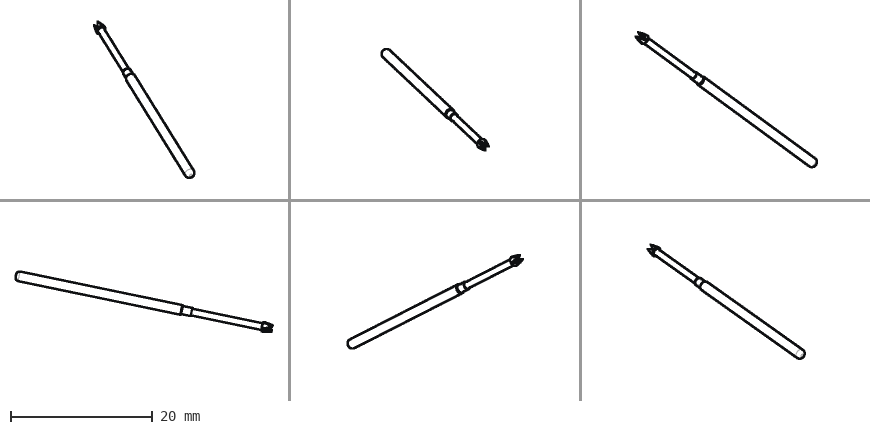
import cadquery as cq
import math

overall_length = 37.08
crown_rim = 1.37
plunger_start = 1.47
sleeve_start = 11.62
lead_in_start = 12.99

barrel_diameter = 1.42
crown_rim_diameter = 1.42
sleeve_diameter = 1.2
plunger_diameter = 1.0
crown_tip_diameter = 1.04

end_round_radius = 0.52

point_count = 4
center_depth = 0.6
groove_slope = 48.0
groove_angles = [(index + 0.5) * 360 / point_count for index in range(point_count)]


def turned_body():
    """Revolve the stepped profile of crown, plunger, sleeve and barrel about X."""
    barrel_radius = barrel_diameter / 2
    sleeve_radius = sleeve_diameter / 2
    lead_in_end = lead_in_start + barrel_radius - sleeve_radius
    round_start = overall_length - end_round_radius
    round_middle = end_round_radius * math.sin(math.radians(45))
    end_face_radius = barrel_radius - end_round_radius
    profile = (
        cq.Workplane("XZ")
        .moveTo(0, 0)
        .lineTo(0, crown_tip_diameter / 2)
        .lineTo(crown_rim, crown_rim_diameter / 2)
        .lineTo(plunger_start, plunger_diameter / 2)
        .lineTo(sleeve_start, plunger_diameter / 2)
        .lineTo(sleeve_start, sleeve_radius)
        .lineTo(lead_in_start, sleeve_radius)
        .lineTo(lead_in_end, barrel_radius)
        .lineTo(round_start, barrel_radius)
        .threePointArc(
            (round_start + round_middle, end_face_radius + round_middle),
            (overall_length, end_face_radius),
        )
        .lineTo(overall_length, 0)
        .close()
    )
    return profile.revolve(360, (0, 0, 0), (1, 0, 0))


def crown_groove(angle):
    """Sloping V-groove whose flanks meet the neighbouring grooves in sharp ridges.

    The ridges rise from the axis at center_depth to the points on the tip circle.
    """
    slope = math.radians(groove_slope)
    half_pitch = math.pi / point_count
    ridge_rise = center_depth / (crown_tip_diameter / 2)
    flank_ratio = math.sin(half_pitch) / (
        ridge_rise * math.cos(slope) + math.cos(half_pitch) * math.sin(slope)
    )
    height = 2 * crown_rim_diameter
    half_width = height * flank_ratio
    across_groove = cq.Plane(
        origin=(center_depth, 0, 0),
        xDir=(0, 0, -1),
        normal=(math.sin(slope), math.cos(slope), 0),
    )
    groove = (
        cq.Workplane(across_groove)
        .polyline([(0, 0), (half_width, height), (-half_width, height)])
        .close()
        .extrude(crown_rim_diameter, both=True)
    )
    return groove.rotate((0, 0, 0), (1, 0, 0), angle)


result = turned_body()
for groove_angle in groove_angles:
    result = result.cut(crown_groove(groove_angle))